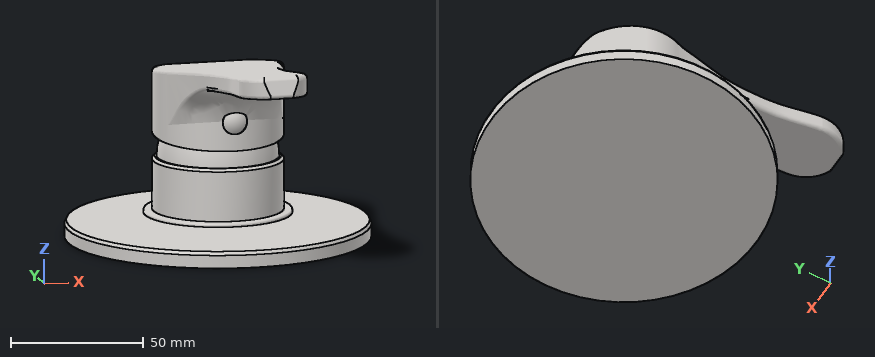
import math

import cadquery as cq

plate_radius = 58.0
plate_edge_height = 5.0
rim_radius = 57.3
rim_height = 6.4
dome_middle_radius = 45.0
dome_middle_height = 8.25

collar_radius = 28.2
collar_foot_height = 9.45
collar_height = 10.9
collar_fillet = 0.9

body_radius = 25.0
body_height = 31.2
body_chamfer = 1.1
neck_radius = 23.2

bottom_height = 40.05
bottom_slope = -4.7
top_height = 66.42
top_slope = 9.0
underside_height = 59.3
underside_slope = 8.0
back_radius = 10.0
top_fillet = 2.0
underside_fillet = 1.5
blend_radius = 17.2
blend_inset = 0.1

head_angle = 25.0
flank_points = [(19.4, -20.6), (14.95, -35.0), (12.6, -49.6), (12.0, -62.0)]
tip_half_width = 13.05
tip_length = 15.2
tip_start_y = -79.4
end_y = -93.98
end_slope = 13.0

mark_radius = 4.75
mark_projection = 1.6
mark_sphere_radius = 8.0
mark_height = 49.2

reach = 120.0


def height_at(y, axis_height, slope):
    """Height of a plane that rises toward -Y and crosses the body axis at axis_height."""
    return axis_height - y * math.tan(math.radians(slope))


def block_beyond(axis_height, slope, depth):
    """Block on a plane that rises toward -Y: above it for a positive depth, below it for a negative one."""
    front = height_at(-reach, axis_height, slope)
    back = height_at(reach, axis_height, slope)
    outline = [(-reach, front), (reach, back), (reach, back + depth), (-reach, front + depth)]
    return cq.Workplane("YZ").polyline(outline).close().extrude(reach, both=True)


def make_plate():
    return (
        cq.Workplane("XZ")
        .lineTo(plate_radius, 0)
        .lineTo(plate_radius, plate_edge_height)
        .lineTo(rim_radius, rim_height)
        .threePointArc((dome_middle_radius, dome_middle_height), (collar_radius, collar_foot_height))
        .lineTo(0, collar_foot_height)
        .close()
        .revolve(360, (0, 0, 0), (0, 1, 0))
    )


def make_body():
    collar = cq.Workplane("XY").circle(collar_radius).extrude(collar_height)
    collar = collar.faces(">Z").edges().fillet(collar_fillet)
    body = cq.Workplane("XY").circle(body_radius).extrude(body_height)
    body = body.faces(">Z").edges().chamfer(body_chamfer)
    neck = cq.Workplane("XY").sphere(neck_radius).translate((0, 0, body_height))
    return collar.union(body).union(neck)


def arm_outline():
    """Arm seen along Z: a wedge inside the head, two curved flanks and a round tip."""
    angle = math.radians(head_angle)
    head_x = body_radius * math.cos(angle)
    head_y = -body_radius * math.sin(angle)
    right_flank = [(head_x, head_y)] + flank_points + [(tip_half_width, tip_start_y)]
    left_flank = [(-x, y) for x, y in reversed(right_flank)]
    leaving_head = (head_y, -head_x)
    reaching_head = (head_y, head_x)
    return (
        cq.Workplane("XY")
        .lineTo(head_x, head_y)
        .spline(right_flank[1:], tangents=[leaving_head, (0, -1)], includeCurrent=True)
        .ellipseArc(tip_half_width, tip_length, 180, 360, sense=-1)
        .spline(left_flank[1:], tangents=[(0, 1), reaching_head], includeCurrent=True)
        .close()
    )


def end_cutter():
    """Space in front of the flat arm end, which leans back toward the top."""
    foot_height = height_at(end_y, underside_height, underside_slope)
    lean = reach * math.tan(math.radians(end_slope))
    outline = [
        (end_y - lean, foot_height - reach),
        (end_y + lean, foot_height + reach),
        (end_y - reach, foot_height + reach),
        (end_y - reach, foot_height - reach),
    ]
    return cq.Workplane("YZ").polyline(outline).close().extrude(reach, both=True)


def underside_cutter():
    """Space under the arm, with a bore that leaves the head and flares into the underside."""
    bore = cq.Workplane("XY").circle(body_radius - blend_inset).extrude(2 * reach, both=True)
    block = block_beyond(underside_height, underside_slope, -2 * reach).cut(bore)
    return block.edges("%ELLIPSE").fillet(blend_radius)


def make_arm():
    arm = arm_outline().extrude(reach)
    arm = arm.cut(block_beyond(top_height, top_slope, reach))
    arm = arm.cut(block_beyond(bottom_height, bottom_slope, -reach))
    arm = arm.cut(end_cutter())
    arm = arm.cut(underside_cutter())
    underside = arm.faces(cq.selectors.NearestToPointSelector((0, tip_start_y, 0)))
    return underside.edges().fillet(underside_fillet)


def make_head():
    head = cq.Workplane("XY").circle(body_radius).extrude(reach)
    head = head.cut(block_beyond(top_height, top_slope, reach))
    return head.cut(block_beyond(bottom_height, bottom_slope, -reach))


def back_cutter():
    """Space outside the rounded corner between the back of the head and its sloping top."""
    turn = math.radians(90 - top_slope)
    tangent_length = back_radius * math.tan(turn / 2)
    corner_height = height_at(body_radius, top_height, top_slope)
    top_y = body_radius - tangent_length * math.cos(math.radians(top_slope))
    top_z = height_at(top_y, top_height, top_slope)
    center_y = body_radius - back_radius
    center_z = corner_height - tangent_length
    middle_y = center_y + back_radius * math.cos(turn / 2)
    middle_z = center_z + back_radius * math.sin(turn / 2)
    return (
        cq.Workplane("YZ")
        .moveTo(body_radius, center_z)
        .threePointArc((middle_y, middle_z), (top_y, top_z))
        .lineTo(top_y, reach)
        .lineTo(reach, reach)
        .lineTo(reach, center_z)
        .close()
        .extrude(reach, both=True)
    )


def make_lever():
    lever = make_head().union(make_arm())
    lever = lever.faces(cq.selectors.NearestToPointSelector((0, 0, reach))).edges().fillet(top_fillet)
    return lever.cut(back_cutter())


def make_mark():
    """Shallow round button on the front of the head."""
    front_y = -body_radius - mark_projection
    ball = cq.Workplane("XY").sphere(mark_sphere_radius)
    ball = ball.translate((0, front_y + mark_sphere_radius, mark_height))
    pin = cq.Workplane("XZ", origin=(0, 0, mark_height)).circle(mark_radius).extrude(reach)
    return ball.intersect(pin)


result = make_plate().union(make_body()).union(make_lever()).union(make_mark())